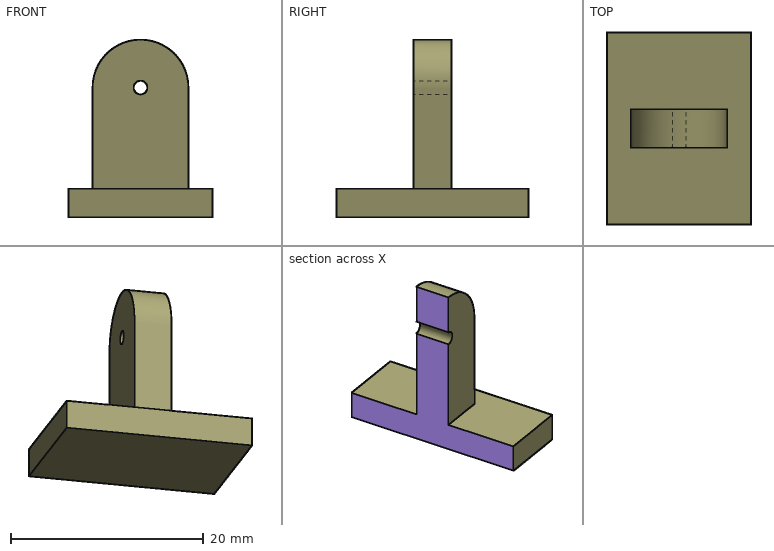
import cadquery as cq

base_width = 15.0
base_length = 20.0
base_thickness = 3.0

total_height = 18.5
lug_width = 10.0
lug_thickness = 4.0
lug_radius = lug_width / 2
hole_diameter = 1.4
hole_height = total_height - lug_radius


def make_base():
    """Rectangular plate resting on Z = 0."""
    return cq.Workplane("XY").box(
        base_width, base_length, base_thickness, centered=(True, True, False)
    )


def make_lug():
    """Round-topped plate centred on the base, with a cross hole at the arc centre."""
    outline = (
        cq.Workplane("XZ")
        .moveTo(-lug_radius, base_thickness)
        .lineTo(lug_radius, base_thickness)
        .lineTo(lug_radius, hole_height)
        .threePointArc((0, total_height), (-lug_radius, hole_height))
        .close()
    )
    lug = outline.extrude(lug_thickness / 2, both=True)
    hole = (
        cq.Workplane("XZ")
        .center(0, hole_height)
        .circle(hole_diameter / 2)
        .extrude(lug_thickness, both=True)
    )
    return lug.cut(hole)


result = make_base().union(make_lug())